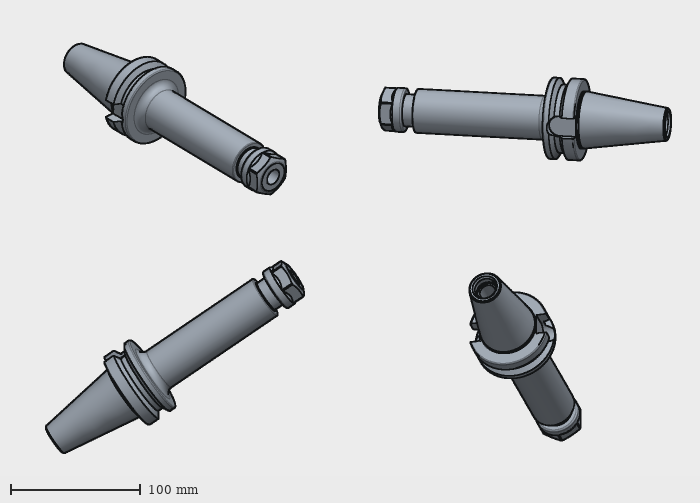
import cadquery as cq
import math

TAPER_LENGTH = 65.5
RELIEF_END = 66.8
FLANGE_FRONT = 67.5
FLANGE_BACK = 92.1
SHANK_END = 198.3
NUT_BACK = 207.0
HEX_START = 214.0
NUT_FRONT = 225.8
NECK_END = HEX_START

TAPER_SMALL_D = 25.3
TAPER_LARGE_D = 44.5
TAPER_END_CHAMFER = 1.0
RELIEF_D = 43.8
FLANGE_D = 63.0
FLANGE_EDGE_RADIUS = 1.0
GROOVE_FLOOR_D = 53.0
GROOVE_CENTER = 82.0
GROOVE_FLOOR_WIDTH = 4.3
GROOVE_FLANK_ANGLE = 31.0

SLOT_WIDTH = 16.0
SLOT_CENTER = 80.5
SLOT_FLOOR = 22.5

SHANK_D = 34.0
SHANK_ROOT_RADIUS = 6.0
SHANK_EDGE_RADIUS = 0.7
NECK_D = 25.0
NECK_ROOT_CHAMFER = 0.7

BORE_D = 12.6
REAR_BORE_D = 17.0
REAR_BORE_END = 7.2
THREAD_BORE_D = 15.8
THREAD_BORE_END = 8.5
MOUTH_D = 19.6
MOUTH_DEPTH = 1.8

NUT_D = SHANK_D
HEX_SIDES = 6
HEX_FLATS = 30.0
NUT_BACK_RADIUS = 1.4
NUT_CHAMFER_START = 223.3
NUT_RIM_START = 225.1
NUT_RIM_D = 26.0
NUT_FACE_D = 23.5


def turned(profile):
    """Revolve an outline drawn as (x, radius) about the X axis."""
    return profile.close().revolve(360, (0, 0, 0), (1, 0, 0))


def arc_mid(radius):
    """Offset of a quarter arc's midpoint from the corner it rounds."""
    return radius * (1 - math.sqrt(0.5))


def bore(diameter, start, end):
    """Cylinder along the X axis between two stations."""
    return cq.Workplane("YZ", origin=(start, 0, 0)).circle(diameter / 2).extrude(end - start)


def holder_blank():
    taper_slope = (TAPER_LARGE_D - TAPER_SMALL_D) / 2 / TAPER_LENGTH
    chamfer_r = TAPER_SMALL_D / 2 + taper_slope * TAPER_END_CHAMFER
    flange_r = FLANGE_D / 2
    groove_r = GROOVE_FLOOR_D / 2
    half_floor = GROOVE_FLOOR_WIDTH / 2
    half_mouth = half_floor + (flange_r - groove_r) * math.tan(math.radians(GROOVE_FLANK_ANGLE))
    shank_r = SHANK_D / 2
    neck_r = NECK_D / 2
    taper_r = TAPER_LARGE_D / 2
    relief_r = RELIEF_D / 2
    root = SHANK_ROOT_RADIUS
    root_mid = arc_mid(root)
    lip = FLANGE_EDGE_RADIUS
    lip_mid = arc_mid(lip)
    shank_edge = SHANK_EDGE_RADIUS
    shank_mid = arc_mid(shank_edge)
    return turned(
        cq.Workplane("XY")
        .moveTo(0, 0)
        .lineTo(0, chamfer_r - TAPER_END_CHAMFER)
        .lineTo(TAPER_END_CHAMFER, chamfer_r)
        .lineTo(TAPER_LENGTH, taper_r)
        .lineTo(TAPER_LENGTH, relief_r)
        .lineTo(RELIEF_END, relief_r)
        .lineTo(RELIEF_END, taper_r)
        .lineTo(FLANGE_FRONT, taper_r)
        .lineTo(FLANGE_FRONT, flange_r - lip)
        .threePointArc((FLANGE_FRONT + lip_mid, flange_r - lip_mid), (FLANGE_FRONT + lip, flange_r))
        .lineTo(GROOVE_CENTER - half_mouth, flange_r)
        .lineTo(GROOVE_CENTER - half_floor, groove_r)
        .lineTo(GROOVE_CENTER + half_floor, groove_r)
        .lineTo(GROOVE_CENTER + half_mouth, flange_r)
        .lineTo(FLANGE_BACK - lip, flange_r)
        .threePointArc((FLANGE_BACK - lip_mid, flange_r - lip_mid), (FLANGE_BACK, flange_r - lip))
        .lineTo(FLANGE_BACK, shank_r + root)
        .threePointArc((FLANGE_BACK + root_mid, shank_r + root_mid), (FLANGE_BACK + root, shank_r))
        .lineTo(SHANK_END - shank_edge, shank_r)
        .threePointArc((SHANK_END - shank_mid, shank_r - shank_mid), (SHANK_END, shank_r - shank_edge))
        .lineTo(SHANK_END, neck_r + NECK_ROOT_CHAMFER)
        .lineTo(SHANK_END + NECK_ROOT_CHAMFER, neck_r)
        .lineTo(NECK_END, neck_r)
        .lineTo(NECK_END, 0)
    )


def drive_slot(side):
    """Open-fronted slot with a round end; side is -1 or 1 along Y."""
    depth = FLANGE_D / 2 - SLOT_FLOOR
    straight = SLOT_CENTER - FLANGE_FRONT
    bar = cq.Workplane("XY").box(straight, depth, SLOT_WIDTH, centered=(False, False, True))
    bar = bar.translate((FLANGE_FRONT, SLOT_FLOOR, 0))
    end = (
        cq.Workplane("XZ", origin=(SLOT_CENTER, SLOT_FLOOR, 0))
        .circle(SLOT_WIDTH / 2)
        .extrude(-depth)
    )
    slot = bar.union(end)
    return slot if side > 0 else slot.mirror("XZ")


def holder_bore():
    """Stepped bore with a conical mouth at the small end of the taper."""
    return turned(
        cq.Workplane("XY")
        .moveTo(0, 0)
        .lineTo(0, MOUTH_D / 2)
        .lineTo(MOUTH_DEPTH, REAR_BORE_D / 2)
        .lineTo(REAR_BORE_END, REAR_BORE_D / 2)
        .lineTo(REAR_BORE_END, THREAD_BORE_D / 2)
        .lineTo(THREAD_BORE_END, THREAD_BORE_D / 2)
        .lineTo(THREAD_BORE_END, BORE_D / 2)
        .lineTo(NECK_END, BORE_D / 2)
        .lineTo(NECK_END, 0)
    )


def make_holder():
    holder = holder_blank()
    for side in (-1, 1):
        holder = holder.cut(drive_slot(side))
    return holder.cut(holder_bore())


def make_nut():
    nut_r = NUT_D / 2
    flat_r = HEX_FLATS / 2
    edge = NUT_BACK_RADIUS
    edge_mid = arc_mid(edge)
    collar = turned(
        cq.Workplane("XY")
        .moveTo(NUT_BACK, 0)
        .lineTo(NUT_BACK, nut_r - edge)
        .threePointArc((NUT_BACK + edge_mid, nut_r - edge_mid), (NUT_BACK + edge, nut_r))
        .lineTo(HEX_START, nut_r)
        .lineTo(HEX_START + nut_r - flat_r, flat_r)
        .lineTo(HEX_START + nut_r - flat_r, 0)
    )
    head_blank = turned(
        cq.Workplane("XY")
        .moveTo(HEX_START, 0)
        .lineTo(HEX_START, nut_r)
        .lineTo(NUT_CHAMFER_START, nut_r)
        .lineTo(NUT_RIM_START, NUT_RIM_D / 2)
        .lineTo(NUT_FRONT, NUT_FACE_D / 2)
        .lineTo(NUT_FRONT, 0)
    )
    hexagon = (
        cq.Workplane("YZ", origin=(HEX_START, 0, 0))
        .polygon(HEX_SIDES, HEX_FLATS, circumscribed=True)
        .extrude(NUT_FRONT - HEX_START)
    )
    nut = collar.union(head_blank.intersect(hexagon))
    nut = nut.cut(bore(NECK_D, NUT_BACK, NECK_END))
    return nut.cut(bore(BORE_D, NECK_END, NUT_FRONT))


holder = make_holder()
nut = make_nut()
result = cq.Compound.makeCompound([holder.val(), nut.val()])